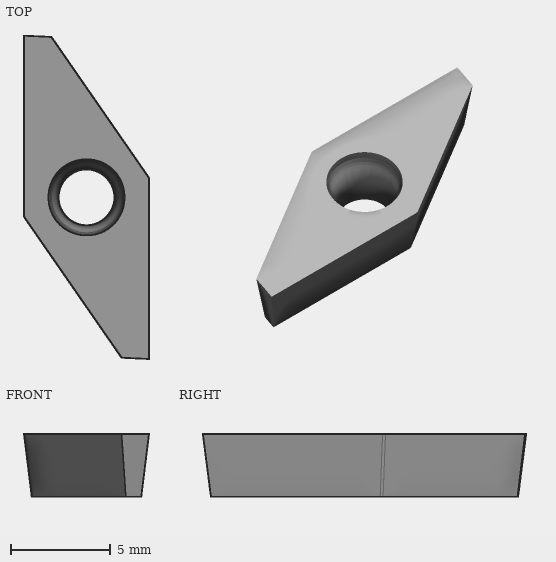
import cadquery as cq
import math

width = 6.32
length = 16.34
thickness = 3.19
relief_angle = 7.0

tip_width = 1.39
tip_drop = 0.07
flank_corner_y = 0.98
corner_radius = 0.26

mouth_radius = 1.93
mouth_depth = 0.44
step_radius = 1.85
step_depth = 0.69
seat_radius = 1.78
seat_depth = 0.82
throat_radius = 1.4
throat_depth = 2.0


def insert_body():
    """Point-symmetric outline on the top face, tapered down to the bottom."""
    half_width = width / 2
    half_length = length / 2
    half_outline = [
        (-half_width, half_length),
        (-half_width + tip_width, half_length - tip_drop),
        (half_width, flank_corner_y),
    ]
    opposite_half = [(-x, -y) for x, y in half_outline]
    body = (
        cq.Workplane("XY", origin=(0, 0, thickness))
        .polyline(half_outline + opposite_half)
        .close()
        .extrude(-thickness, taper=relief_angle)
    )
    for side in (-1, 1):
        corner = (side * half_width, side * flank_corner_y, thickness / 2)
        body = body.edges(cq.selectors.NearestToPointSelector(corner)).fillet(corner_radius)
    return body


def screw_hole():
    """Stepped mouth leading to a convex seat that runs smoothly into the throat."""
    seat_run = seat_radius - throat_radius
    seat_drop = throat_depth - seat_depth
    seat_arc_radius = (seat_run**2 + seat_drop**2) / (2 * seat_run)
    half_angle = math.asin(seat_drop / seat_arc_radius) / 2
    seat_middle = (
        throat_radius + seat_arc_radius * (1 - math.cos(half_angle)),
        thickness - throat_depth + seat_arc_radius * math.sin(half_angle),
    )
    return (
        cq.Workplane("XZ")
        .moveTo(0, thickness)
        .lineTo(mouth_radius, thickness)
        .lineTo(mouth_radius, thickness - mouth_depth)
        .lineTo(step_radius, thickness - step_depth)
        .lineTo(seat_radius, thickness - seat_depth)
        .threePointArc(seat_middle, (throat_radius, thickness - throat_depth))
        .lineTo(throat_radius, 0)
        .lineTo(0, 0)
        .close()
        .revolve(360, (0, 0, 0), (0, 1, 0))
    )


result = insert_body().cut(screw_hole())